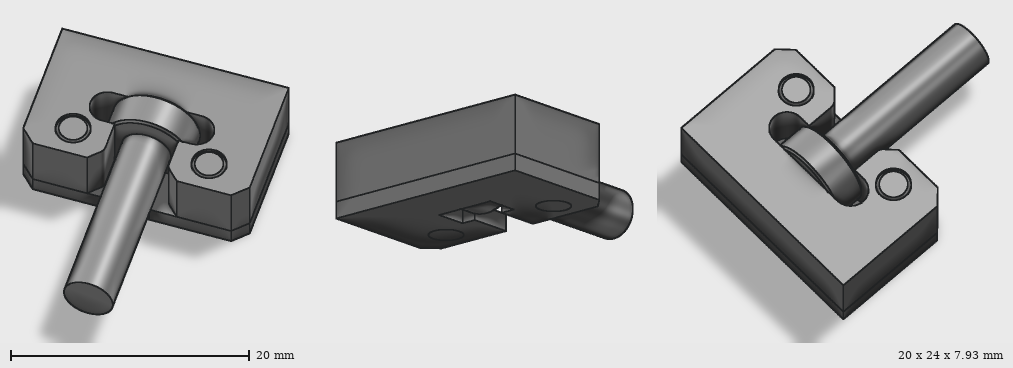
import cadquery as cq
import math

WIDTH = 20.0
DEPTH = 12.0
CORNER_CHAMFER = 1.25
BASE_HEIGHT = 1.5
BLOCK_HEIGHT = 5.2
TOTAL_HEIGHT = BASE_HEIGHT + BLOCK_HEIGHT

SCREW_AXIS_Z = 4.08
HEAD_RADIUS = 3.85
HEAD_LENGTH = 3.0
HEAD_FRONT_Y = 4.0
HEAD_CHAMFER = 0.2
SHANK_RADIUS = 2.15
SHANK_TIP_Y = -12.0

HEAD_SLOT_LENGTH = 10.85
SHANK_SLOT_WIDTH = 5.62
SHANK_SLOT_MOUTH_WIDTH = 7.92
MOUTH_BLEND_RADIUS = 0.85
BASE_SLOT_WIDTH = 3.0
BASE_POCKET_CLEARANCE = 0.02
HEAD_CENTER_Y = HEAD_FRONT_Y + HEAD_LENGTH / 2

PIN_RADIUS = 1.5
PIN_CHAMFER = 0.3
PIN_SPACING = 12.0
PIN_Y = 2.52
PIN_POSITIONS = [(side * PIN_SPACING / 2, PIN_Y) for side in (-1, 1)]


def make_plate(bottom_z, height):
    """Rectangular plate with its two front corners chamfered and the pin holes through it."""
    plate = (
        cq.Workplane("XY", origin=(0, DEPTH / 2, bottom_z))
        .rect(WIDTH, DEPTH)
        .extrude(height)
        .edges("|Z and <Y")
        .chamfer(CORNER_CHAMFER)
    )
    holes = cq.Workplane("XY", origin=(0, 0, bottom_z)).pushPoints(PIN_POSITIONS).circle(PIN_RADIUS)
    return plate.cut(holes.extrude(height))


def make_base():
    """Base plate with a narrow front slot that opens into a pocket under the screw head."""
    head_drop = SCREW_AXIS_Z - BASE_HEIGHT
    pocket_half_width = math.sqrt(HEAD_RADIUS**2 - head_drop**2) + BASE_POCKET_CLEARANCE
    slot = (
        cq.Workplane("XY", origin=(0, HEAD_FRONT_Y / 2, 0))
        .rect(BASE_SLOT_WIDTH, HEAD_FRONT_Y)
        .extrude(BASE_HEIGHT)
    )
    pocket = (
        cq.Workplane("XY", origin=(0, HEAD_CENTER_Y, 0))
        .rect(2 * pocket_half_width, HEAD_LENGTH)
        .extrude(BASE_HEIGHT)
    )
    return make_plate(0, BASE_HEIGHT).cut(slot).cut(pocket)


def make_shank_slot():
    """Front opening for the shank, flared at 45 degrees with blended corners."""
    half_slot = SHANK_SLOT_WIDTH / 2
    half_mouth = SHANK_SLOT_MOUTH_WIDTH / 2
    flare = half_mouth - half_slot
    return (
        cq.Workplane("XY", origin=(0, 0, BASE_HEIGHT))
        .polyline([
            (-half_mouth, 0),
            (half_mouth, 0),
            (half_slot, flare),
            (half_slot, HEAD_CENTER_Y),
            (-half_slot, HEAD_CENTER_Y),
            (-half_slot, flare),
        ])
        .close()
        .extrude(BLOCK_HEIGHT)
        .edges(cq.selectors.BoxSelector(
            (-half_mouth, flare / 2, 0), (half_mouth, HEAD_FRONT_Y, TOTAL_HEIGHT)
        ))
        .edges("|Z")
        .fillet(MOUTH_BLEND_RADIUS)
    )


def make_block():
    """Upper block with a round-ended slot for the head and a front slot for the shank."""
    head_slot = (
        cq.Workplane("XY", origin=(0, HEAD_CENTER_Y, BASE_HEIGHT))
        .slot2D(HEAD_SLOT_LENGTH, HEAD_LENGTH)
        .extrude(BLOCK_HEIGHT)
    )
    return make_plate(BASE_HEIGHT, BLOCK_HEIGHT).cut(head_slot).cut(make_shank_slot())


def make_screw():
    """Cylindrical shank with a larger round head chamfered on both rims."""
    head = (
        cq.Workplane("XZ", origin=(0, HEAD_FRONT_Y, SCREW_AXIS_Z))
        .circle(HEAD_RADIUS)
        .extrude(-HEAD_LENGTH)
        .edges()
        .chamfer(HEAD_CHAMFER)
    )
    shank = (
        cq.Workplane("XZ", origin=(0, HEAD_FRONT_Y, SCREW_AXIS_Z))
        .circle(SHANK_RADIUS)
        .extrude(HEAD_FRONT_Y - SHANK_TIP_Y)
    )
    return head.union(shank)


def make_pin(x, y):
    """Dowel pin through both plates, flush with the top and chamfered there."""
    return (
        cq.Workplane("XY", origin=(x, y, 0))
        .circle(PIN_RADIUS)
        .extrude(TOTAL_HEIGHT)
        .faces(">Z")
        .chamfer(PIN_CHAMFER)
    )


base = make_base()
block = make_block()
screw = make_screw()
pins = [make_pin(x, y) for x, y in PIN_POSITIONS]

result = cq.Compound.makeCompound([base.val(), block.val(), screw.val(), *[pin.val() for pin in pins]])